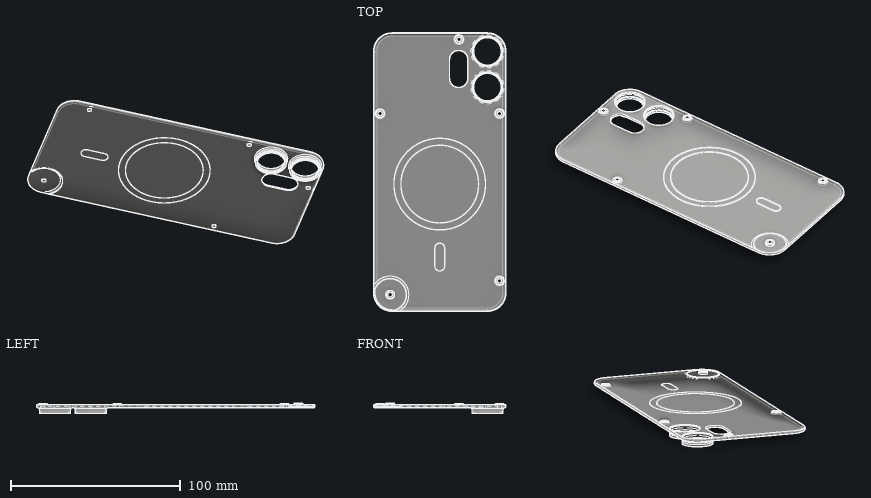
import cadquery as cq
import math

LENGTH = 164.1
WIDTH = 78.1
CORNER_RADIUS = 11.0
PLATE_HEIGHT = 2.0
WAIST_HEIGHT = 1.0
BACK_FILLET = 0.97
RIM_DRAFT = 15

FLOOR_HEIGHT = 1.1
RIM_BLEND_RADIUS = 2.05
RIM_BLEND_INSET = 2.0

SIDE_BOSS_X = 35.1
BOSS_CENTERS = [(11.3, 78.1), (-SIDE_BOSS_X, 34.5), (SIDE_BOSS_X, 34.5), (SIDE_BOSS_X, -64.0)]
BOSS_RADIUS = 2.6
BOSS_TOP = 2.5
BOSS_FOOT_FILLET = 0.5
BOSS_CHAMFER = 0.3
SCREW_HOLE_RADIUS = 1.23

PAD_CENTER = (-29.2, -72.2)
PAD_RADIUS = 9.7
PAD_RIM_GAP = 1.0
PAD_RISE = 0.5
PAD_DRAFT = 30
PAD_TOP = FLOOR_HEIGHT + PAD_RISE
PAD_BOSS_TOP = 3.0
PAD_HOLE_RADIUS = 1.3
BACK_RECESS_RADIUS = 11.0
BACK_RECESS_DEPTH = 0.7

WINDOW_CENTER = (11.2, 60.7)
WINDOW_LENGTH = 22.0
WINDOW_WIDTH = 11.0
WINDOW_DRAFT = 10

MAGNET_THICKNESS = 0.7
MAGNET_CLEARANCE = 0.2
RING_CENTER = (0, -7.0)
RING_OUTER_RADIUS = 26.9
RING_INNER_RADIUS = 23.0
BAR_CENTER = (0, -50.0)
BAR_LENGTH = 16.2
BAR_WIDTH = 5.5

LENS_X = WIDTH / 2 - CORNER_RADIUS
LENS_TOP_Y = LENGTH / 2 - CORNER_RADIUS
LENS_PITCH = 21.0
LENS_CENTERS = [(LENS_X, LENS_TOP_Y), (LENS_X, LENS_TOP_Y - LENS_PITCH)]
TUBE_BORE_RADIUS = 8.5
TUBE_MOUTH_CHAMFER = 0.5
TUBE_RADIUS = 9.2
TUBE_BOTTOM = -3.3
FLANGE_RADIUS = 9.8
FLANGE_BOTTOM = -0.8

LENS_RING_RADIUS = 8.9
LENS_RING_INNER_RADIUS = 8.0
LENS_RING_TOP = -2.0


def rounded_outline(level, offset=0.0):
    outline = cq.Sketch().rect(WIDTH + 2 * offset, LENGTH + 2 * offset)
    outline = outline.vertices().fillet(CORNER_RADIUS + offset)
    return cq.Workplane("XY").workplane(offset=level).placeSketch(outline)


def cylinder(center, radius, bottom, top):
    return cq.Workplane("XY").workplane(offset=bottom).center(*center).circle(radius).extrude(top - bottom)


def make_plate_blank():
    upper = rounded_outline(WAIST_HEIGHT).extrude(PLATE_HEIGHT - WAIST_HEIGHT, taper=RIM_DRAFT)
    lower = rounded_outline(0).extrude(WAIST_HEIGHT).faces("<Z").edges().fillet(BACK_FILLET)
    hollow = (
        rounded_outline(FLOOR_HEIGHT, RIM_BLEND_RADIUS - RIM_BLEND_INSET)
        .extrude(2 * RIM_BLEND_RADIUS)
        .faces("<Z")
        .edges()
        .fillet(RIM_BLEND_RADIUS)
    )
    return upper.union(lower).cut(hollow)


def make_boss(center):
    """Round boss with a chamfered top and a concave fillet at the floor."""
    foot = BOSS_RADIUS + BOSS_FOOT_FILLET
    arc_middle = BOSS_FOOT_FILLET * (1 - math.sqrt(0.5))
    profile = (
        cq.Workplane("XZ")
        .moveTo(0, 0)
        .lineTo(foot, 0)
        .lineTo(foot, FLOOR_HEIGHT)
        .threePointArc(
            (BOSS_RADIUS + arc_middle, FLOOR_HEIGHT + arc_middle),
            (BOSS_RADIUS, FLOOR_HEIGHT + BOSS_FOOT_FILLET),
        )
        .lineTo(BOSS_RADIUS, BOSS_TOP - BOSS_CHAMFER)
        .lineTo(BOSS_RADIUS - BOSS_CHAMFER, BOSS_TOP)
        .lineTo(0, BOSS_TOP)
        .close()
    )
    return profile.revolve(360, (0, 0, 0), (0, 1, 0)).translate((*center, 0))


def make_pad():
    """Low drafted disc, kept inside the rim, with a boss on it."""
    inside = rounded_outline(0, -PAD_RIM_GAP).extrude(PAD_TOP)
    core = cylinder(PAD_CENTER, PAD_RADIUS, BACK_RECESS_DEPTH, FLOOR_HEIGHT)
    raised = (
        cq.Workplane("XY")
        .workplane(offset=FLOOR_HEIGHT)
        .center(*PAD_CENTER)
        .circle(PAD_RADIUS)
        .extrude(PAD_RISE, taper=PAD_DRAFT)
    )
    boss = cylinder(PAD_CENTER, BOSS_RADIUS, BACK_RECESS_DEPTH, PAD_BOSS_TOP)
    boss = boss.faces(">Z").edges().chamfer(BOSS_CHAMFER)
    return core.union(raised).intersect(inside).union(boss)


def make_window():
    return (
        cq.Workplane("XY")
        .workplane(offset=FLOOR_HEIGHT)
        .center(*WINDOW_CENTER)
        .slot2D(WINDOW_LENGTH, WINDOW_WIDTH, 90)
        .extrude(-FLOOR_HEIGHT, taper=WINDOW_DRAFT)
    )


def make_ring_magnet(clearance=0.0):
    return (
        cq.Workplane("XY")
        .workplane(offset=FLOOR_HEIGHT - MAGNET_THICKNESS)
        .center(*RING_CENTER)
        .circle(RING_OUTER_RADIUS + clearance)
        .circle(RING_INNER_RADIUS - clearance)
        .extrude(MAGNET_THICKNESS)
    )


def make_bar_magnet(clearance=0.0):
    return (
        cq.Workplane("XY")
        .workplane(offset=FLOOR_HEIGHT - MAGNET_THICKNESS)
        .center(*BAR_CENTER)
        .slot2D(BAR_LENGTH + 2 * clearance, BAR_WIDTH + 2 * clearance, 90)
        .extrude(MAGNET_THICKNESS)
    )


def revolve_at(center, points):
    """Revolve a (radius, height) outline about the vertical axis through center."""
    profile = cq.Workplane("XZ").polyline(points).close()
    return profile.revolve(360, (0, 0, 0), (0, 1, 0)).translate((*center, 0))


def make_lens_tube(center):
    outline = [
        (0, FLOOR_HEIGHT),
        (TUBE_RADIUS, FLOOR_HEIGHT),
        (TUBE_RADIUS, 0),
        (FLANGE_RADIUS, 0),
        (TUBE_RADIUS, FLANGE_BOTTOM),
        (TUBE_RADIUS, TUBE_BOTTOM),
        (0, TUBE_BOTTOM),
    ]
    return revolve_at(center, outline)


def make_lens_bore(center):
    """Bore with a chamfered mouth at the floor and a clear path up past the rim."""
    mouth_radius = TUBE_BORE_RADIUS + TUBE_MOUTH_CHAMFER
    outline = [
        (0, TUBE_BOTTOM),
        (TUBE_BORE_RADIUS, TUBE_BOTTOM),
        (TUBE_BORE_RADIUS, FLOOR_HEIGHT - TUBE_MOUTH_CHAMFER),
        (mouth_radius, FLOOR_HEIGHT),
        (mouth_radius, PLATE_HEIGHT),
        (0, PLATE_HEIGHT),
    ]
    return revolve_at(center, outline)


def make_lens_ring(center):
    outline = [
        (LENS_RING_RADIUS, LENS_RING_TOP),
        (LENS_RING_RADIUS, TUBE_BOTTOM),
        (LENS_RING_INNER_RADIUS, TUBE_BOTTOM),
        (LENS_RING_INNER_RADIUS, LENS_RING_TOP),
    ]
    return revolve_at(center, outline)


def make_plate():
    plate = make_plate_blank()
    plate = plate.cut(cylinder(PAD_CENTER, BACK_RECESS_RADIUS, 0, BACK_RECESS_DEPTH))
    plate = plate.union(make_pad())
    plate = plate.cut(cylinder(PAD_CENTER, PAD_HOLE_RADIUS, 0, PAD_BOSS_TOP))
    for center in BOSS_CENTERS:
        plate = plate.union(make_boss(center))
        plate = plate.cut(cylinder(center, SCREW_HOLE_RADIUS, 0, BOSS_TOP))
    for center in LENS_CENTERS:
        plate = plate.union(make_lens_tube(center))
        plate = plate.cut(make_lens_bore(center))
        plate = plate.cut(cylinder(center, LENS_RING_RADIUS, TUBE_BOTTOM, LENS_RING_TOP))
    plate = plate.cut(make_window())
    return plate.cut(make_ring_magnet(MAGNET_CLEARANCE)).cut(make_bar_magnet(MAGNET_CLEARANCE))


plate = make_plate()
ring_magnet = make_ring_magnet()
bar_magnet = make_bar_magnet()
lens_rings = [make_lens_ring(center) for center in LENS_CENTERS]

result = cq.Compound.makeCompound(
    [plate.val(), ring_magnet.val(), bar_magnet.val(), *[ring.val() for ring in lens_rings]]
)